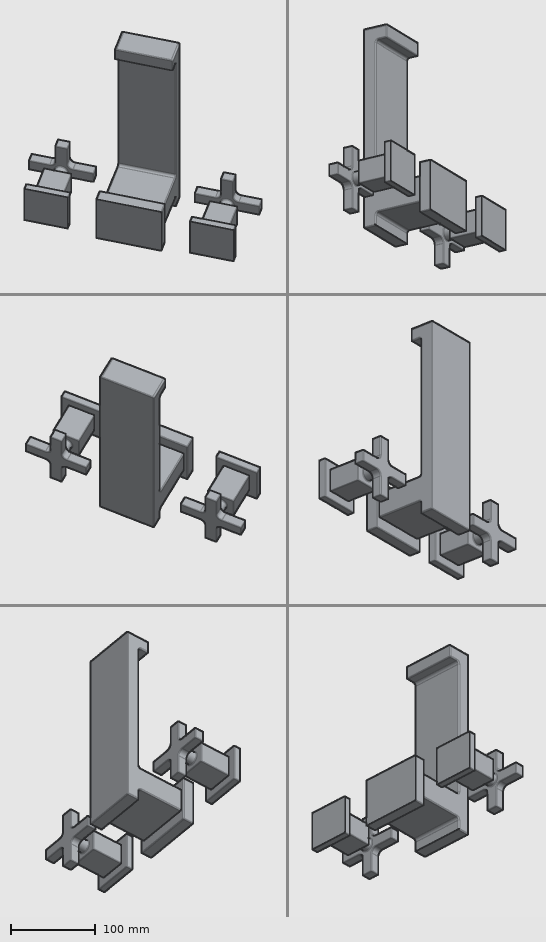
import cadquery as cq


OVERALL_WIDTH = 283.0
OVERALL_HEIGHT = 260.3
SELECT_MARGIN = 0.3

CROSS_SPAN = 79.5
HANDLE_SPACING = OVERALL_WIDTH - CROSS_SPAN
ARM_WIDTH = 15.0
CROSS_INNER_RADIUS = 6.8
CROSS_BACK = 78.0
CROSS_THICKNESS = 12.5
STEM_DIAMETER = 16.5
BLOCK_WIDTH = 34.0
BLOCK_HEIGHT = 29.1
BLOCK_BACK = 51.2
HANDLE_PLATE_WIDTH = 53.8
HANDLE_PLATE_HEIGHT = 51.5
HANDLE_PLATE_THICKNESS = 9.0
HANDLE_EDGE_RADIUS = 0.8

SPOUT_WIDTH = 71.3
SPOUT_BACK = 95.5
SPOUT_THICKNESS = 17.0
SPOUT_TOP = OVERALL_HEIGHT - CROSS_SPAN / 2
SPOUT_BOTTOM = -33.5
LIP_DEPTH = 31.7
LIP_HEIGHT = 17.3
NECK_HEIGHT = 33.0
SPOUT_INNER_RADIUS = 3.5
SPOUT_SIDE_RADIUS = 1.5
SPOUT_END_RADIUS = 1.0
SPOUT_TOP_RADIUS = 2.3
SPOUT_PLATE_WIDTH = 80.5
SPOUT_PLATE_HEIGHT = 64.0
SPOUT_PLATE_THICKNESS = 15.0
SPOUT_PLATE_EDGE_RADIUS = 1.0


def block(width, height, front, back):
    """Box centred on the Y axis between two Y positions."""
    return cq.Workplane("XY").box(width, back - front, height).translate((0, (front + back) / 2, 0))


def box_selector(width, y_range, z_range):
    """Selector for edges or faces whose centres lie within a box, with a little slack."""
    half_width = width / 2 + SELECT_MARGIN
    return cq.selectors.BoxSelector(
        (-half_width, y_range[0] - SELECT_MARGIN, z_range[0] - SELECT_MARGIN),
        (half_width, y_range[1] + SELECT_MARGIN, z_range[1] + SELECT_MARGIN),
    )


def round_off(solid, radius):
    """Round every edge except those of the front face."""
    return solid.edges("not <Y").fillet(radius)


def make_cross():
    """Four-armed grip with rounded inner corners."""
    front = CROSS_BACK - CROSS_THICKNESS
    cross = block(CROSS_SPAN, ARM_WIDTH, front, CROSS_BACK)
    cross = cross.union(block(ARM_WIDTH, CROSS_SPAN, front, CROSS_BACK))
    half_arm = ARM_WIDTH / 2
    hub = box_selector(ARM_WIDTH, (front, CROSS_BACK), (-half_arm, half_arm))
    cross = cross.edges("|Y").edges(hub).fillet(CROSS_INNER_RADIUS)
    arm_ends = cross.faces("<X or >X or <Z or >Z").edges("|Y")
    return arm_ends.fillet(HANDLE_EDGE_RADIUS).faces("<Y or >Y").edges().fillet(HANDLE_EDGE_RADIUS)


def make_handle(center_x):
    """Wall plate, square block, round stem and cross grip in one solid."""
    plate = block(HANDLE_PLATE_WIDTH, HANDLE_PLATE_HEIGHT, 0, HANDLE_PLATE_THICKNESS)
    plate = round_off(plate, HANDLE_EDGE_RADIUS)
    body = block(BLOCK_WIDTH, BLOCK_HEIGHT, HANDLE_PLATE_THICKNESS, BLOCK_BACK)
    body = round_off(body, HANDLE_EDGE_RADIUS)
    stem_length = CROSS_BACK - CROSS_THICKNESS - BLOCK_BACK
    stem = (
        cq.Workplane("XZ", origin=(0, BLOCK_BACK, 0))
        .circle(STEM_DIAMETER / 2)
        .extrude(-stem_length)
    )
    handle = plate.union(body).union(stem).union(make_cross())
    stem_ends = cq.selectors.RadiusNthSelector(-1)
    handle = handle.edges("%CIRCLE").edges(stem_ends).fillet(HANDLE_EDGE_RADIUS)
    return handle.translate((center_x, 0, 0))


def make_spout():
    """Upright bar with a lip at the top and a neck that joins it to its wall plate."""
    bar_front = SPOUT_BACK - SPOUT_THICKNESS
    lip_front = SPOUT_BACK - LIP_DEPTH
    lip_bottom = SPOUT_TOP - LIP_HEIGHT
    half_neck = NECK_HEIGHT / 2
    outline = [
        (SPOUT_BACK, SPOUT_BOTTOM),
        (SPOUT_BACK, SPOUT_TOP),
        (lip_front, SPOUT_TOP),
        (lip_front, lip_bottom),
        (bar_front, lip_bottom),
        (bar_front, half_neck),
        (SPOUT_PLATE_THICKNESS, half_neck),
        (SPOUT_PLATE_THICKNESS, -half_neck),
        (bar_front, -half_neck),
        (bar_front, SPOUT_BOTTOM),
    ]
    bar = cq.Workplane("YZ").polyline(outline).close().extrude(SPOUT_WIDTH / 2, both=True)
    inner_corners = box_selector(SPOUT_WIDTH, (bar_front, bar_front), (-half_neck, lip_bottom))
    bar = bar.edges("|X").edges(inner_corners).fillet(SPOUT_INNER_RADIUS)
    bar = bar.faces(">Z").edges("|Y").fillet(SPOUT_TOP_RADIUS)
    below_lip = box_selector(SPOUT_WIDTH, (SPOUT_PLATE_THICKNESS, SPOUT_BACK), (SPOUT_BOTTOM, lip_bottom))
    bar = bar.faces("<X or >X").edges(below_lip).edges("not(<Y or >Y)").fillet(SPOUT_SIDE_RADIUS)
    bar = bar.faces(">Y").edges().fillet(SPOUT_END_RADIUS)
    lip_face = box_selector(SPOUT_WIDTH, (lip_front, lip_front), (lip_bottom, SPOUT_TOP))
    bar = bar.faces(lip_face).edges().fillet(SPOUT_END_RADIUS)

    plate = block(SPOUT_PLATE_WIDTH, SPOUT_PLATE_HEIGHT, 0, SPOUT_PLATE_THICKNESS)
    plate = round_off(plate, SPOUT_PLATE_EDGE_RADIUS)
    return plate.union(bar)


spout = make_spout()
handles = [make_handle(side * HANDLE_SPACING / 2) for side in (-1, 1)]

result = cq.Compound.makeCompound([spout.val(), *[handle.val() for handle in handles]])